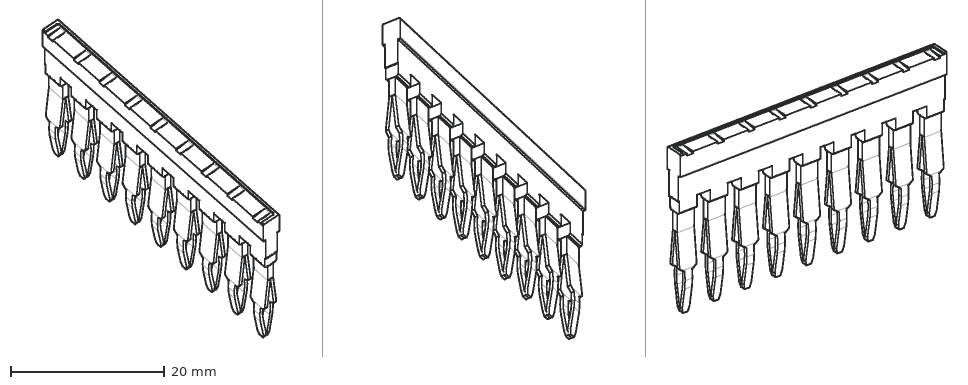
import cadquery as cq
import math


LENGTH = 44.0
HEAD_DEPTH = 2.8
HEAD_BOTTOM_Z = -3.45
HEAD_TOP_CHAMFER = 0.15
HEAD_TOP_CHAMFER_HEIGHT = 0.2
HEAD_FOOT_TAPER_HEIGHT = 0.2
HEAD_FOOT_TAPER = 0.05
WEB_DEPTH = 2.02
WEB_BOTTOM_Z = -7.3
TOOTH_WIDTH = 2.9
TOOTH_END_INSET = 0.155
TOOTH_BOTTOM_Z = -9.3
TOOTH_CHAMFER = 0.25

CONTACT_COUNT = 9
PITCH = (LENGTH - 2 * TOOTH_END_INSET - TOOTH_WIDTH) / (CONTACT_COUNT - 1)
CONTACT_XS = [PITCH * (i - (CONTACT_COUNT - 1) / 2) for i in range(CONTACT_COUNT)]

CHANNEL_DEPTH = 0.2
CHANNEL_WALL = 0.5
CHANNEL_CORNER_RADIUS = 0.25

SLOT_WIDTH = 1.0
SLOT_BACK_GAP = 0.25
SLOT_DROP = 0.3

LEAF_THICKNESS = 0.5
BLADE_THICKNESS = 2 * LEAF_THICKNESS
BLADE_WIDTH = 2.85
LEAF_WIDTH = 2.8
LEG_WIDTH = 1.25
SPLIT_Z = -12.2
SHOULDER_Z = -17.55
BULGE_TOP_Z = -17.78
LEG_TOP_Z = -18.15
BULGE_BOTTOM_Z = -19.35
LEG_BEND_Z = -20.7
TIP_Z = -24.75
BULGE_TOP_Y = 1.05
BULGE_BOTTOM_Y = 1.15
LEG_BEND_Y = 1.05
TIP_Y = 0.4
TIP_TAPER_LENGTH = 0.9
TIP_TAPER_WIDTH = 0.2


def block(width, depth, top_z, bottom_z):
    """Box centred in X and Y between two heights."""
    return cq.Workplane("XY", origin=(0, 0, bottom_z)).rect(width, depth).extrude(top_z - bottom_z)


def label_channel():
    """Shallow pocket that runs out through the front face, with two rounded back corners."""
    width = LENGTH - 2 * CHANNEL_WALL
    back_y = HEAD_DEPTH / 2 - CHANNEL_WALL
    pocket = (
        cq.Workplane("XY", origin=(0, back_y - HEAD_DEPTH / 2, -CHANNEL_DEPTH))
        .rect(width, HEAD_DEPTH)
        .extrude(CHANNEL_DEPTH)
    )
    return pocket.edges("|Z and >Y").fillet(CHANNEL_CORNER_RADIUS)


def channel_slot(x):
    """Wedge below the channel floor, deepest at the front face."""
    front_y = -HEAD_DEPTH / 2
    back_y = HEAD_DEPTH / 2 - CHANNEL_WALL - SLOT_BACK_GAP
    return (
        cq.Workplane("YZ", origin=(x, 0, 0))
        .moveTo(back_y, -CHANNEL_DEPTH)
        .lineTo(front_y, -CHANNEL_DEPTH)
        .lineTo(front_y, -CHANNEL_DEPTH - SLOT_DROP)
        .close()
        .extrude(SLOT_WIDTH / 2, both=True)
    )


def housing_tooth(x):
    """Block over one contact, chamfered along its lower front and back edges."""
    tooth = block(TOOTH_WIDTH, WEB_DEPTH, WEB_BOTTOM_Z, TOOTH_BOTTOM_Z)
    return tooth.faces("<Z").edges("|X").chamfer(TOOTH_CHAMFER).translate((x, 0, 0))


def housing_head():
    """Wide bar with chamfered top edges and a slight inward taper at its foot."""
    half_depth = HEAD_DEPTH / 2
    return (
        cq.Workplane("YZ")
        .moveTo(0, 0)
        .lineTo(half_depth - HEAD_TOP_CHAMFER, 0)
        .lineTo(half_depth, -HEAD_TOP_CHAMFER_HEIGHT)
        .lineTo(half_depth, HEAD_BOTTOM_Z + HEAD_FOOT_TAPER_HEIGHT)
        .lineTo(half_depth - HEAD_FOOT_TAPER, HEAD_BOTTOM_Z)
        .lineTo(0, HEAD_BOTTOM_Z)
        .mirrorY()
        .extrude(LENGTH / 2, both=True)
    )


def make_housing():
    housing = housing_head().cut(label_channel())
    housing = housing.union(block(LENGTH, WEB_DEPTH, HEAD_BOTTOM_Z, WEB_BOTTOM_Z))
    for x in CONTACT_XS:
        housing = housing.cut(channel_slot(x)).union(housing_tooth(x))
    return housing


def leaf_outline():
    """Face-on outline of a leaf: wide plate, sloped shoulders, narrow leg."""
    half_leaf = LEAF_WIDTH / 2
    half_leg = LEG_WIDTH / 2
    return (
        cq.Workplane("XZ")
        .moveTo(0, SPLIT_Z)
        .lineTo(half_leaf, SPLIT_Z)
        .lineTo(half_leaf, SHOULDER_Z)
        .lineTo(half_leg, LEG_TOP_Z)
        .lineTo(half_leg, TIP_Z)
        .lineTo(0, TIP_Z)
        .mirrorY()
        .extrude(HEAD_DEPTH, both=True)
    )


def tip_taper(side, leg_angle):
    """Wedge, square to the leg, that narrows one side of the tip."""
    tip_plane = cq.Plane(
        origin=(0, TIP_Y, TIP_Z),
        xDir=(side, 0, 0),
        normal=(0, -side * math.cos(leg_angle), side * math.sin(leg_angle)),
    )
    half_leg = LEG_WIDTH / 2
    return (
        cq.Workplane(tip_plane)
        .moveTo(half_leg, 0)
        .lineTo(half_leg, TIP_TAPER_LENGTH)
        .lineTo(half_leg - TIP_TAPER_WIDTH, 0)
        .close()
        .extrude(2 * LEAF_THICKNESS, both=True)
    )


def make_leaf():
    """Spring leaf on the +Y side: bows outwards, then leans in to the tip."""
    leg_angle = math.atan2(LEG_BEND_Y - TIP_Y, LEG_BEND_Z - TIP_Z)
    inner_tip_y = TIP_Y - LEAF_THICKNESS * math.cos(leg_angle)
    inner_tip_z = TIP_Z + LEAF_THICKNESS * math.sin(leg_angle)
    leaf = (
        cq.Workplane("YZ")
        .moveTo(LEAF_THICKNESS, SPLIT_Z)
        .lineTo(BULGE_TOP_Y, BULGE_TOP_Z)
        .lineTo(BULGE_BOTTOM_Y, BULGE_BOTTOM_Z)
        .lineTo(LEG_BEND_Y, LEG_BEND_Z)
        .lineTo(TIP_Y, TIP_Z)
        .lineTo(inner_tip_y, inner_tip_z)
        .lineTo(LEG_BEND_Y - LEAF_THICKNESS, LEG_BEND_Z)
        .lineTo(BULGE_BOTTOM_Y - LEAF_THICKNESS, BULGE_BOTTOM_Z)
        .lineTo(BULGE_TOP_Y - LEAF_THICKNESS, BULGE_TOP_Z)
        .lineTo(0, SPLIT_Z)
        .close()
        .extrude(LEAF_WIDTH / 2, both=True)
        .intersect(leaf_outline())
    )
    for side in (-1, 1):
        leaf = leaf.cut(tip_taper(side, leg_angle))
    return leaf


def make_contact():
    """Contact at X = 0, hanging from the underside of a tooth."""
    blade = block(BLADE_WIDTH, BLADE_THICKNESS, TOOTH_BOTTOM_Z, SPLIT_Z)
    leaf = make_leaf()
    return blade.union(leaf).union(leaf.mirror("XZ"))


housing = make_housing().solids()
contact = make_contact().solids()
contacts = [contact.translate((x, 0, 0)) for x in CONTACT_XS]

result = cq.Compound.makeCompound([housing.val(), *[body.val() for body in contacts]])